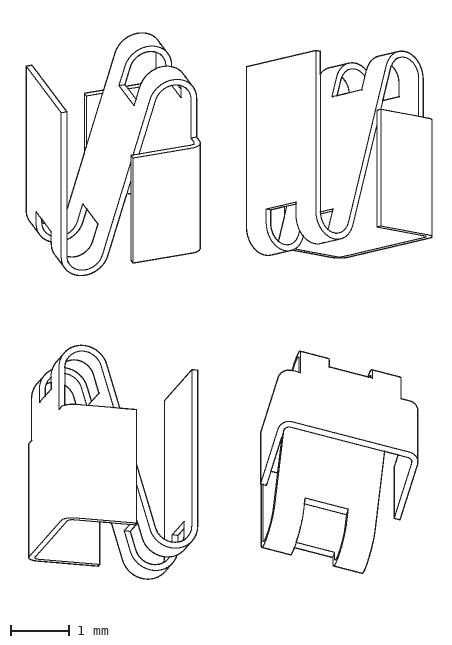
import cadquery as cq
import math

clip_width = 2.46
clip_depth = 2.44
clip_height = 3.48
thickness = 0.105

strip_width = 1.77
bend_radius = 0.43
front_plate_top = 3.21
bend_inner_radius = bend_radius - thickness

channel_bottom = 0.275
channel_height = 2.025
flange_depth = 1.27
flange_bend_radius = 0.195

slot_width = 0.76
slot_depth = 0.66


def spring_strip():
    """Strip folded into an S: back plate, upper bend, sloping web, lower bend, front plate."""
    upper_y = clip_depth - bend_radius
    upper_z = clip_height - bend_radius
    lower_y = bend_radius
    lower_z = bend_radius

    rise = upper_z - lower_z
    run = upper_y - lower_y
    crossing_angle = math.asin((bend_radius + bend_inner_radius) / math.hypot(run, rise))
    web_tilt = math.atan2(run, rise) - crossing_angle
    normal_y = -math.cos(web_tilt)
    normal_z = math.sin(web_tilt)

    def upper_tangent(radius):
        return (upper_y + radius * normal_y, upper_z + radius * normal_z)

    def lower_tangent(radius):
        return (lower_y - radius * normal_y, lower_z - radius * normal_z)

    return (
        cq.Workplane("YZ")
        .moveTo(clip_depth, channel_bottom)
        .lineTo(clip_depth, upper_z)
        .threePointArc((upper_y, clip_height), upper_tangent(bend_radius))
        .lineTo(*lower_tangent(bend_inner_radius))
        .threePointArc((lower_y, thickness), (thickness, lower_z))
        .lineTo(thickness, front_plate_top)
        .lineTo(0, front_plate_top)
        .lineTo(0, lower_z)
        .threePointArc((lower_y, 0), lower_tangent(bend_radius))
        .lineTo(*upper_tangent(bend_inner_radius))
        .threePointArc((upper_y, clip_height - thickness), (clip_depth - thickness, upper_z))
        .lineTo(clip_depth - thickness, channel_bottom)
        .close()
        .extrude(strip_width / 2, both=True)
    )


def slot(y_start, y_end, z_start):
    """Cutter for one slot, centred on X = 0."""
    return (
        cq.Workplane("XY")
        .box(slot_width, y_end - y_start, slot_depth, centered=(True, False, False))
        .translate((0, y_start, z_start))
    )


def rounded_block(width, back_y, corner_radius):
    """Block from the flange tips to back_y, with its two rear vertical edges rounded."""
    depth = back_y - (clip_depth - flange_depth)
    return (
        cq.Workplane("XY")
        .box(width, depth, channel_height, centered=(True, False, False))
        .edges("|Z and >Y")
        .fillet(corner_radius)
        .translate((0, back_y - depth, channel_bottom))
    )


def back_channel():
    """U-shaped channel: a back wall with a rounded bend into each side flange."""
    outer = rounded_block(clip_width, clip_depth, flange_bend_radius)
    inner = rounded_block(
        clip_width - 2 * thickness,
        clip_depth - thickness,
        flange_bend_radius - thickness,
    )
    return outer.cut(inner)


lower_slot = slot(0, clip_depth - thickness, 0)
upper_slot = slot(thickness, clip_depth, clip_height - slot_depth)

result = spring_strip().cut(lower_slot).cut(upper_slot).union(back_channel())